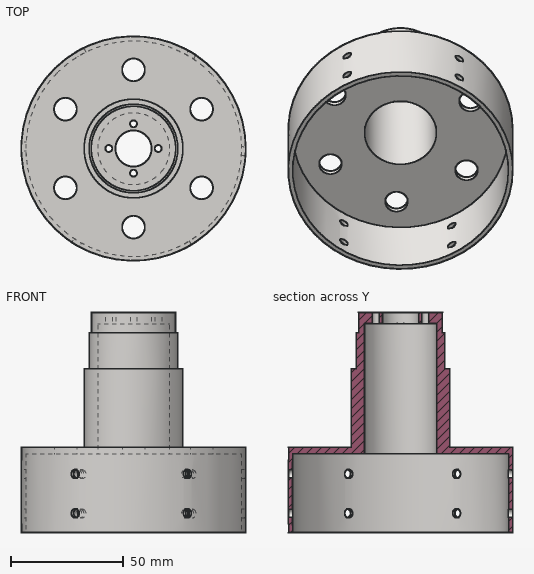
import cadquery as cq

DRUM_DIAMETER = 100.0
DRUM_HEIGHT = 38.0
DRUM_WALL = 2.0
DRUM_ROOF = 3.0

NECK_STEPS = [(44.0, 35.0), (39.5, 16.0), (37.6, 9.0)]
NECK_HEIGHT = sum(height for _, height in NECK_STEPS)
TOTAL_HEIGHT = DRUM_HEIGHT + NECK_HEIGHT

NECK_BORE_DIAMETER = 32.0
END_PLATE = 5.0

CENTRE_HOLE_DIAMETER = 16.0
SCREW_HOLE_DIAMETER = 3.0
SCREW_CIRCLE_RADIUS = 11.0
SCREW_COUNT = 4

ROOF_HOLE_DIAMETER = 10.0
ROOF_CIRCLE_RADIUS = 35.0
ROOF_HOLE_COUNT = 6
ROOF_FIRST_ANGLE = 30.0

SIDE_HOLE_DIAMETER = 4.0
SIDE_HOLE_COUNT = 6
SIDE_FIRST_ANGLE = -1.3
SIDE_ROW_HEIGHTS = (8.6, 26.1)


def cylinder(diameter, bottom, top):
    """Upright cylinder on the Z axis between two heights."""
    return cq.Workplane("XY").workplane(offset=bottom).circle(diameter / 2).extrude(top - bottom)


def hole_circle(diameter, radius, first_angle, count, bottom, top):
    """Ring of equally spaced upright hole cutters."""
    return (
        cq.Workplane("XY")
        .workplane(offset=bottom)
        .polarArray(radius, first_angle, 360, count)
        .circle(diameter / 2)
        .extrude(top - bottom)
    )


def side_hole(height):
    """Radial cutter pointing along +X at the given height."""
    return (
        cq.Workplane("YZ")
        .center(0, height)
        .circle(SIDE_HOLE_DIAMETER / 2)
        .extrude(DRUM_DIAMETER)
    )


body = cylinder(DRUM_DIAMETER, 0, DRUM_HEIGHT)
step_bottom = DRUM_HEIGHT
for step_diameter, step_height in NECK_STEPS:
    body = body.union(cylinder(step_diameter, step_bottom, step_bottom + step_height))
    step_bottom += step_height

roof_underside = DRUM_HEIGHT - DRUM_ROOF
plate_underside = TOTAL_HEIGHT - END_PLATE
body = body.cut(cylinder(DRUM_DIAMETER - 2 * DRUM_WALL, 0, roof_underside))
body = body.cut(cylinder(NECK_BORE_DIAMETER, roof_underside, plate_underside))

body = body.cut(cylinder(CENTRE_HOLE_DIAMETER, plate_underside, TOTAL_HEIGHT))
body = body.cut(
    hole_circle(SCREW_HOLE_DIAMETER, SCREW_CIRCLE_RADIUS, 0, SCREW_COUNT, plate_underside, TOTAL_HEIGHT)
)

body = body.cut(
    hole_circle(
        ROOF_HOLE_DIAMETER, ROOF_CIRCLE_RADIUS, ROOF_FIRST_ANGLE, ROOF_HOLE_COUNT, roof_underside, DRUM_HEIGHT
    )
)

for row_height in SIDE_ROW_HEIGHTS:
    cutter = side_hole(row_height)
    for index in range(SIDE_HOLE_COUNT):
        angle = SIDE_FIRST_ANGLE + index * 360 / SIDE_HOLE_COUNT
        body = body.cut(cutter.rotate((0, 0, 0), (0, 0, 1), angle))

result = body